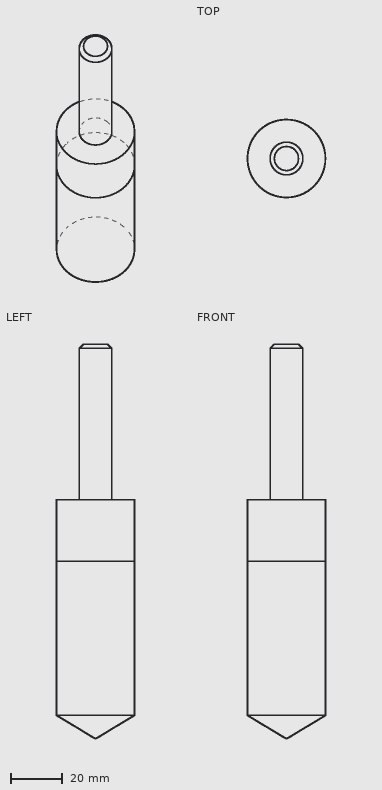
import cadquery as cq
import math

total_length = 152.4
body_diameter = 30.2
shank_diameter = 12.6
shank_length = 60.0
collar_length = 23.8
point_angle = 118.0
chamfer_width = 1.7
chamfer_height = 1.7

body_radius = body_diameter / 2
shank_radius = shank_diameter / 2
point_height = body_radius / math.tan(math.radians(point_angle / 2))
collar_top = total_length - shank_length
joint_level = collar_top - collar_length


def make_holder():
    """Collar and chamfered shank, turned as one piece about Z."""
    return (
        cq.Workplane("XZ")
        .moveTo(0, joint_level)
        .lineTo(body_radius, joint_level)
        .lineTo(body_radius, collar_top)
        .lineTo(shank_radius, collar_top)
        .lineTo(shank_radius, total_length - chamfer_height)
        .lineTo(shank_radius - chamfer_width, total_length)
        .lineTo(0, total_length)
        .close()
        .revolve(360, (0, 0, 0), (0, 1, 0))
    )


def make_tip():
    """Cylindrical tip with a conical point, seated flat against the collar."""
    return (
        cq.Workplane("XZ")
        .moveTo(0, 0)
        .lineTo(body_radius, point_height)
        .lineTo(body_radius, joint_level)
        .lineTo(0, joint_level)
        .close()
        .revolve(360, (0, 0, 0), (0, 1, 0))
    )


holder = make_holder()
tip = make_tip()

result = cq.Compound.makeCompound([holder.val(), tip.val()])